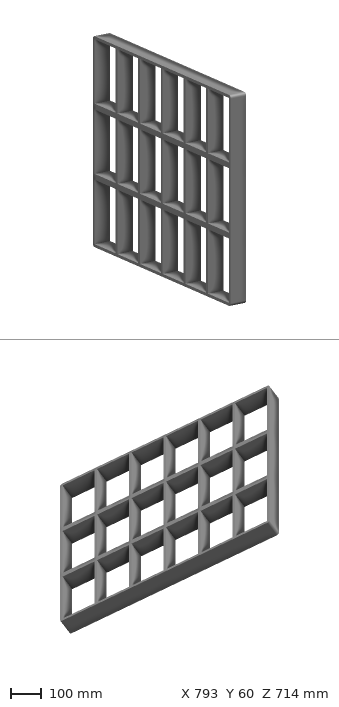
import cadquery as cq

width = 793.0
depth = 60.0
height = 714.0

columns = 6
rows = 3
wall = 10.0
rail = 20.0
corner_radius = 10.0

opening_width = (width - (columns + 1) * wall) / columns
opening_height = (height - 2 * wall - (rows - 1) * rail) / rows
column_pitch = opening_width + wall
row_pitch = opening_height + rail


def outer_block():
    """Solid slab with its four corners rounded along the depth."""
    return cq.Workplane("XY").box(width, depth, height).edges("|Y").fillet(corner_radius)


def openings():
    """Sharp-cornered rectangular prisms that pass through the full depth."""
    return (
        cq.Workplane("XZ")
        .rarray(column_pitch, row_pitch, columns, rows)
        .rect(opening_width, opening_height)
        .extrude(depth, both=True)
    )


result = outer_block().cut(openings())